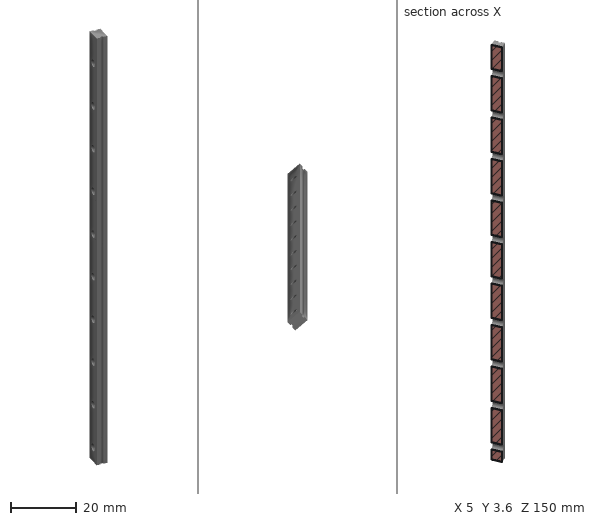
import cadquery as cq

RAIL_WIDTH = 5.0
RAIL_HEIGHT = 3.6
RAIL_LENGTH = 150.0

GROOVE_DIAMETER = 1.0

HOLE_DIAMETER = 2.4
HOLE_COUNT = 10
HOLE_PITCH = 15.0
FIRST_HOLE_Z = 5.0


def rail_bar():
    """Plain bar centred on X and Y, standing on Z = 0."""
    return cq.Workplane("XY").rect(RAIL_WIDTH, RAIL_HEIGHT).extrude(RAIL_LENGTH)


def ball_grooves():
    """Two round cutters whose axes lie on the side faces of the bar."""
    side_faces = [(-RAIL_WIDTH / 2, 0), (RAIL_WIDTH / 2, 0)]
    return cq.Workplane("XY").pushPoints(side_faces).circle(GROOVE_DIAMETER / 2).extrude(RAIL_LENGTH)


def mounting_holes():
    """Cutters for all mounting holes, running through the full height of the bar."""
    centers = [(0, FIRST_HOLE_Z + index * HOLE_PITCH) for index in range(HOLE_COUNT)]
    hole_centers = cq.Workplane("XZ", origin=(0, RAIL_HEIGHT / 2, 0)).pushPoints(centers)
    return hole_centers.circle(HOLE_DIAMETER / 2).extrude(RAIL_HEIGHT)


result = rail_bar().cut(ball_grooves()).cut(mounting_holes())